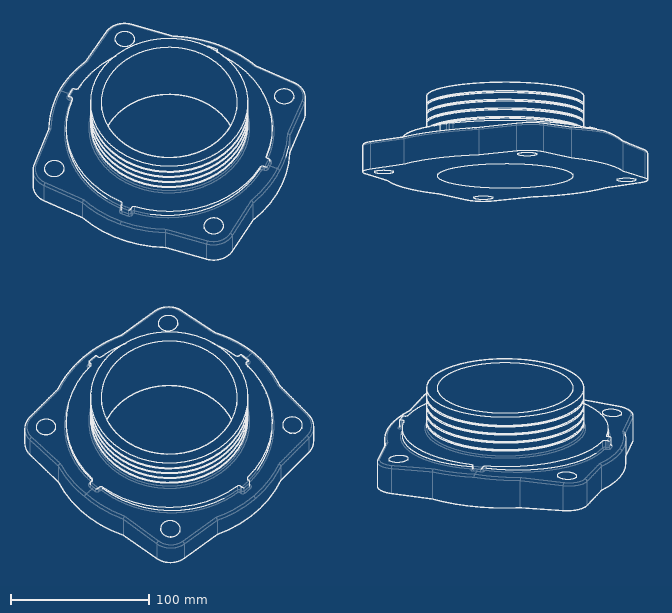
import cadquery as cq
import math

DISC_R = 87.3
LUG_OFFSET = 63.0
LUG_R = 15.4
BOLT_HOLE_R = 7.0
SHOULDER_X = 32.8
RIDGE_Z = 24.6
ROOF_SLOPE = 3.0
RIM_FILLET = 1.7

RING_R = 74.5
RING_TOP_Z = 27.2
TAB_REACH = 78.4
TAB_WIDTH = 7.7
TAB_CORNER_R = 1.2
TAB_ROOT_FILLET = 1.7
RING_FOOT_FILLET = 1.2

TOTAL_HEIGHT = 58.7
NECK_R = 57.0
BORE_R = 49.0
NECK_FOOT_FILLET = 1.2
GROOVE_COUNT = 4
GROOVE_WIDTH = 1.2
GROOVE_DEPTH = 1.7
GROOVE_PITCH = 6.3
TOP_GROOVE_Z = 51.7

TOLERANCE = 0.02


def lug_flank_points():
    """Ends of the flank of the +X +Y lug that faces +Y: on the disc, then on the lug."""
    start_x = SHOULDER_X
    start_y = math.sqrt(DISC_R**2 - start_x**2)
    to_lug_x = LUG_OFFSET - start_x
    to_lug_y = LUG_OFFSET - start_y
    distance = math.hypot(to_lug_x, to_lug_y)
    flank_angle = math.atan2(to_lug_y, to_lug_x) + math.asin(LUG_R / distance)
    tangent_x = LUG_OFFSET - LUG_R * math.sin(flank_angle)
    tangent_y = LUG_OFFSET + LUG_R * math.cos(flank_angle)
    return (start_x, start_y), (tangent_x, tangent_y)


def turned(point, quarter_turns):
    """Turn a point counterclockwise about the origin."""
    x, y = point
    for _ in range(quarter_turns):
        x, y = -y, x
    return x, y


def make_outline():
    """Plate outline, counterclockwise, one quarter of it at a time."""
    shoulder, tangent = lug_flank_points()
    lug_tip = LUG_OFFSET + LUG_R / math.sqrt(2)
    mirrored_shoulder = shoulder[::-1]
    mirrored_tangent = tangent[::-1]
    outline = cq.Workplane("XY").moveTo(shoulder[1], -shoulder[0])
    for quarter in range(4):
        outline = (
            outline.threePointArc(turned((DISC_R, 0), quarter), turned(mirrored_shoulder, quarter))
            .lineTo(*turned(mirrored_tangent, quarter))
            .threePointArc(turned((lug_tip, lug_tip), quarter), turned(tangent, quarter))
            .lineTo(*turned(shoulder, quarter))
        )
    return outline.close()


def make_plate():
    """Plate under a shallow gable roof, with its upper rim rounded."""
    roof_drop = DISC_R * math.tan(math.radians(ROOF_SLOPE))
    eave_z = RIDGE_Z - roof_drop
    roof = (
        cq.Workplane("YZ")
        .polyline([(-DISC_R, 0), (DISC_R, 0), (DISC_R, eave_z), (0, RIDGE_Z), (-DISC_R, eave_z)])
        .close()
        .extrude(DISC_R, both=True)
    )
    plate = make_outline().extrude(RIDGE_Z).intersect(roof)
    return plate.edges("not (<Z or |Z or |X)").fillet(RIM_FILLET)


def reach_of(edge):
    """Distance of the middle of an edge from the Z axis."""
    middle = edge.Center()
    return math.hypot(middle.x, middle.y)


def is_tab_root(edge):
    """True for the upright inside corners where a tab grows out of the ring."""
    return math.isclose(reach_of(edge), RING_R, abs_tol=TOLERANCE)


def is_ring_foot(edge):
    """True for the edges where the walls of the ring and its tabs meet the sloping plate top."""
    return reach_of(edge) < TAB_REACH + TOLERANCE and 0 < edge.Center().z <= RIDGE_Z


def is_neck_foot(edge):
    """True for the circle where the neck meets the top of the ring."""
    on_ring_top = math.isclose(edge.Center().z, RING_TOP_Z, abs_tol=TOLERANCE)
    return on_ring_top and math.isclose(edge.radius(), NECK_R, abs_tol=TOLERANCE)


def make_ring():
    """Ring with a tab at every quarter turn, solid down to the bottom of the plate."""
    ring = cq.Workplane("XY").circle(RING_R).extrude(RING_TOP_Z)
    for angle in range(0, 360, 90):
        tab = (
            cq.Workplane("XY")
            .box(TAB_REACH, TAB_WIDTH, RING_TOP_Z, centered=(False, True, False))
            .faces(">X")
            .edges("|Z or >Z")
            .fillet(TAB_CORNER_R)
            .rotate((0, 0, 0), (0, 0, 1), angle)
        )
        ring = ring.union(tab)
    return ring.edges("|Z").filter(is_tab_root).fillet(TAB_ROOT_FILLET)


def make_flange():
    """Plate and ring with the foot fillet between them, made as one quarter and mirrored."""
    quarter_space = cq.Workplane("XY").box(DISC_R, DISC_R, RING_TOP_Z, centered=False)
    quarter = make_plate().union(make_ring()).intersect(quarter_space)
    quarter = quarter.edges("not |Z").filter(is_ring_foot).fillet(RING_FOOT_FILLET)
    half = quarter.union(quarter.mirror("YZ"))
    return half.union(half.mirror("XZ"))


def make_grooves():
    """Evenly spaced square grooves around the neck."""
    groove_bottom_z = TOP_GROOVE_Z - GROOVE_WIDTH / 2
    groove = (
        cq.Workplane("XY")
        .circle(NECK_R)
        .circle(NECK_R - GROOVE_DEPTH)
        .extrude(GROOVE_WIDTH)
    )
    grooves = cq.Workplane("XY")
    for index in range(GROOVE_COUNT):
        grooves = grooves.add(groove.translate((0, 0, groove_bottom_z - index * GROOVE_PITCH)))
    return grooves.combine()


def make_holes():
    """Bore along the axis and one bolt hole through each lug."""
    bore = cq.Workplane("XY").circle(BORE_R).extrude(TOTAL_HEIGHT)
    bolt_holes = (
        cq.Workplane("XY")
        .rect(2 * LUG_OFFSET, 2 * LUG_OFFSET, forConstruction=True)
        .vertices()
        .circle(BOLT_HOLE_R)
        .extrude(RIDGE_Z)
    )
    return bore.add(bolt_holes).combine()


flange = make_flange()
neck = cq.Workplane("XY").circle(NECK_R).extrude(TOTAL_HEIGHT)
body = flange.union(neck).edges("%CIRCLE").filter(is_neck_foot).fillet(NECK_FOOT_FILLET)
result = body.cut(make_grooves()).cut(make_holes())